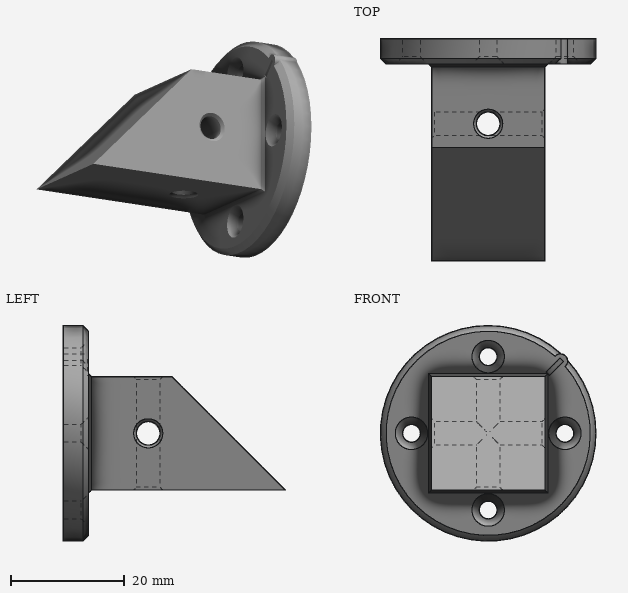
import cadquery as cq
import math

overall_length = 39.15
flange_diameter = 38.0
flange_thickness = 4.5
flange_chamfer = 1.0
block_side = 19.97
root_chamfer = 0.5

screw_circle_radius = 13.5
screw_diameter = 3.1
screw_head_diameter = 5.7

cross_hole_offset = 15.0
cross_hole_diameter = 4.1
cross_hole_chamfer = 0.5

marker_center_radius = 18.0
marker_radius = 1.25
marker_angle = 45
groove_width = 0.85
groove_end_radius = 18.33
groove_depth = 0.2

half_side = block_side / 2
cone_angle = 90


def make_flange():
    """Round flange with a chamfered front rim and a round marker on its edge."""
    disc = (
        cq.Workplane("XZ")
        .circle(flange_diameter / 2)
        .extrude(flange_thickness)
        .faces("<Y")
        .chamfer(flange_chamfer)
    )
    marker = (
        cq.Workplane("XZ")
        .center(marker_center_radius, 0)
        .circle(marker_radius)
        .extrude(flange_thickness)
        .rotate((0, 0, 0), (0, 1, 0), -marker_angle)
    )
    return disc.union(marker)


def make_groove():
    """Straight pointer groove from the corner of the flared root into the marker."""
    corner_radius = (half_side + root_chamfer) * math.sqrt(2)
    return (
        cq.Workplane("XZ", origin=(0, -flange_thickness + groove_depth, 0))
        .center((corner_radius + groove_end_radius) / 2, 0)
        .rect(groove_end_radius - corner_radius, groove_width)
        .extrude(groove_depth)
        .rotate((0, 0, 0), (0, 1, 0), -marker_angle)
    )


def make_block():
    """Square block whose free end is cut at 45 degrees, with a flared root."""
    slope_start = overall_length - block_side
    block = (
        cq.Workplane("YZ")
        .polyline([
            (-flange_thickness, -half_side),
            (-overall_length, -half_side),
            (-slope_start, half_side),
            (-flange_thickness, half_side),
        ])
        .close()
        .extrude(half_side, both=True)
    )
    root_side = block_side + 2 * root_chamfer
    root = (
        cq.Workplane("XZ", origin=(0, -flange_thickness, 0))
        .rect(root_side, root_side)
        .extrude(root_chamfer, taper=cone_angle / 2)
    )
    return block.union(root)


def cut_screw_holes(body):
    """Four countersunk holes through the flange, one beside each block side."""
    return (
        body.copyWorkplane(cq.Workplane("XZ", origin=(0, -flange_thickness, 0)))
        .polarArray(screw_circle_radius, 0, 360, 4)
        .cskHole(screw_diameter, screw_head_diameter, cone_angle, flange_thickness)
    )


def cut_cross_holes(body):
    """Through holes along X and Z that meet in the block, chamfered at each end."""
    mouth_diameter = cross_hole_diameter + 2 * cross_hole_chamfer
    for axis in [(1, 0, 0), (-1, 0, 0), (0, 0, 1), (0, 0, -1)]:
        direction = cq.Vector(*axis)
        mouth = cq.Vector(0, -cross_hole_offset, 0) + direction * half_side
        plane = cq.Plane(origin=mouth, xDir=(0, 1, 0), normal=direction)
        body = (
            body.copyWorkplane(cq.Workplane(plane))
            .cskHole(cross_hole_diameter, mouth_diameter, cone_angle, half_side)
        )
    return body


result = make_flange().cut(make_groove()).union(make_block())
result = cut_screw_holes(result)
result = cut_cross_holes(result)